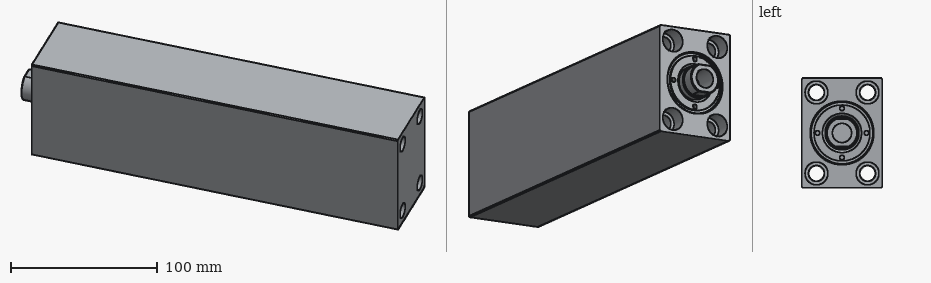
import cadquery as cq


total_length = 278.5
rod_projection = 13.6
housing_length = total_length - rod_projection
housing_width = 55.0
housing_height = 75.0
long_edge_chamfer = 0.8

hole_pitch_y = 34.8
hole_pitch_z = 55.1
through_diameter = 10.5
counterbore_diameter = 15.5
counterbore_depth = 12.0

seat_diameter = 42.0
seat_depth = 27.8
seat_mouth_chamfer = 0.7
hub_diameter = 38.2
hub_height = 1.5
spanner_hole_diameter = 3.0
spanner_hole_depth = 4.2
spanner_circle_radius = 16.7
spanner_hole_count = 4
wiper_mouth_diameter = 26.7
wiper_mouth_depth = 1.7

rod_diameter = 23.0
rod_nose_diameter = 21.5
rod_nose_length = 9.5
shoulder_length = 0.8
nose_chamfer = 0.5
across_flats = 19.5
rod_hole_diameter = 13.0
rod_hole_depth = 19.5


def x_cylinder(diameter, start, length):
    """Solid cylinder about the X axis, running from X = start in +X."""
    return cq.Workplane("YZ", origin=(start, 0, 0)).circle(diameter / 2).extrude(length)


def x_cone(start_diameter, end_diameter, start, length):
    """Solid truncated cone about the X axis, running from X = start in +X."""
    return cq.Workplane(obj=cq.Solid.makeCone(
        start_diameter / 2, end_diameter / 2, length,
        pnt=cq.Vector(start, 0, 0), dir=cq.Vector(1, 0, 0)))


def make_housing():
    block = cq.Workplane("YZ").rect(housing_width, housing_height).extrude(housing_length)
    block = block.edges("|X").chamfer(long_edge_chamfer)

    centers = cq.Workplane("YZ").rect(hole_pitch_y, hole_pitch_z, forConstruction=True).vertices()
    block = block.cut(centers.circle(through_diameter / 2).extrude(housing_length))
    block = block.cut(centers.circle(counterbore_diameter / 2).extrude(counterbore_depth))

    mouth_diameter = seat_diameter + 2 * seat_mouth_chamfer
    block = block.cut(x_cylinder(seat_diameter, 0, seat_depth))
    return block.cut(x_cone(mouth_diameter, seat_diameter, 0, seat_mouth_chamfer))


def make_gland():
    flange = x_cylinder(seat_diameter, hub_height, seat_depth - hub_height)
    gland = flange.union(x_cylinder(hub_diameter, 0, hub_height))

    gland = gland.cut(x_cylinder(rod_diameter, 0, seat_depth))
    gland = gland.cut(x_cone(wiper_mouth_diameter, rod_diameter, 0, wiper_mouth_depth))

    spanner_holes = (
        cq.Workplane("YZ")
        .polarArray(spanner_circle_radius, 0, 360, spanner_hole_count)
        .circle(spanner_hole_diameter / 2)
        .extrude(spanner_hole_depth)
    )
    return gland.cut(spanner_holes)


def make_rod():
    shoulder_start = rod_nose_length - rod_projection
    body_start = shoulder_start + shoulder_length

    nose = x_cylinder(rod_nose_diameter, -rod_projection, rod_nose_length)
    flats = cq.Workplane("YZ", origin=(-rod_projection, 0, 0))
    flats = flats.rect(rod_nose_diameter, across_flats).extrude(rod_nose_length)
    nose = nose.intersect(flats)
    nose = nose.faces("<X").chamfer(nose_chamfer)

    shoulder = x_cone(rod_nose_diameter, rod_diameter, shoulder_start, shoulder_length)
    body = x_cylinder(rod_diameter, body_start, seat_depth - body_start)
    rod = nose.union(shoulder).union(body)
    return rod.cut(x_cylinder(rod_hole_diameter, -rod_projection, rod_hole_depth))


housing = make_housing()
gland = make_gland()
rod = make_rod()

result = cq.Compound.makeCompound([housing.val(), gland.val(), rod.val()])